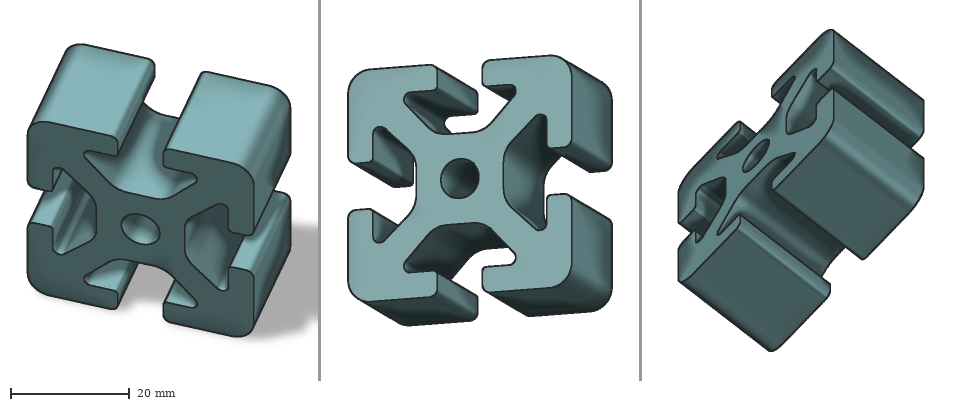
import cadquery as cq

side = 40.0
length = 20.0
corner_radius = 4.0
bore_diameter = 6.8

slot_opening = 8.0
lip_thickness = 4.5
slot_depth = 12.2
floor_width = 8.65
undercut_width = 23.1
lip_outer_radius = 1.45
lip_inner_radius = 0.8
undercut_radius = 1.2
floor_radius = 4.8

half_side = side / 2
half_opening = slot_opening / 2
lip_underside = half_side - lip_thickness
slot_floor = half_side - slot_depth


def make_body():
    """Square bar with rounded long edges, centred on the origin."""
    return cq.Workplane("XY").box(side, length, side).edges("|Y").fillet(corner_radius)


def make_slot():
    """Cutter for the slot that opens upwards, with sharp edges."""
    right_half = [
        (floor_width / 2, slot_floor),
        (undercut_width / 2, lip_underside),
        (half_opening, lip_underside),
        (half_opening, half_side),
    ]
    left_half = [(-x, z) for x, z in reversed(right_half)]
    profile = cq.Workplane("XZ").polyline(right_half + left_half).close()
    return profile.extrude(length / 2, both=True)


def round_edges(body, x, z, radius):
    """Fillet the long edges at (x, z) and at its mirror and quarter-turn copies."""
    tolerance = 0.005
    target = sorted((x, z))

    def is_target(edge):
        centre = edge.Center()
        place = sorted((abs(centre.x), abs(centre.z)))
        return all(abs(a - b) < tolerance for a, b in zip(place, target))

    edges = body.edges("|Y").filter(is_target)
    return edges.fillet(radius)


result = make_body()
for turn in range(4):
    result = result.cut(make_slot().rotate((0, 0, 0), (0, 1, 0), 90 * turn))

result = round_edges(result, half_opening, half_side, lip_outer_radius)
result = round_edges(result, half_opening, lip_underside, lip_inner_radius)
result = round_edges(result, undercut_width / 2, lip_underside, undercut_radius)
result = round_edges(result, floor_width / 2, slot_floor, floor_radius)

bore = cq.Workplane("XZ").circle(bore_diameter / 2).extrude(length / 2, both=True)
result = result.cut(bore)